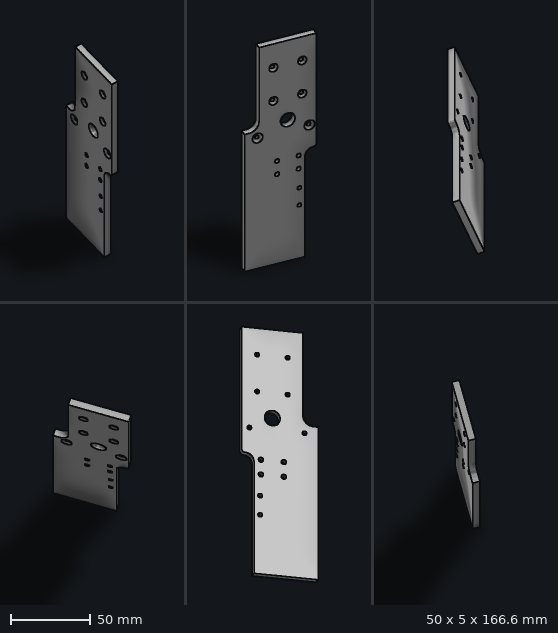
import cadquery as cq

width = 50.0
height = 166.6
thickness = 5.0
bottom_rise = 0.2

upper_left_x = 10.0
left_ledge_z = height - 62.8
left_fillet = 7.0
lower_right_x = 42.0
right_ledge_z = height - 85.1
right_fillet = 5.8
right_corner_round = 2.0

hole_center_x = (upper_left_x + width) / 2
row_pitch = 25.0
top_row_z = height - 18.0
middle_row_z = top_row_z - row_pitch
bottom_row_z = middle_row_z - row_pitch

screw_hole_diameter = 2.7
upper_screw_spacing = 20.0
upper_sink_diameter = 6.0
upper_sink_angle = 90.0
lower_screw_center_x = 27.0
lower_screw_spacing = 36.0
lower_sink_diameter = 7.2
lower_sink_angle = 120.0

bore_diameter = 10.0
bore_z = height - 60.0

grid_hole_diameter = 3.0
grid_hole_left_x = 22.5
grid_hole_spacing_x = 15.0
grid_hole_spacing_z = 10.0
grid_hole_top_z = height - 89.0

pair_hole_diameter = 2.7
pair_hole_x = 38.0
pair_hole_spacing = 13.0
pair_hole_top_z = height - 113.5


def plate():
    """Stepped plate with rounded step corners."""
    blank = (
        cq.Workplane("XZ")
        .moveTo(0, bottom_rise)
        .lineTo(lower_right_x, 0)
        .lineTo(lower_right_x, right_ledge_z)
        .lineTo(width, right_ledge_z)
        .lineTo(width, height)
        .lineTo(upper_left_x, height)
        .lineTo(upper_left_x, left_ledge_z)
        .lineTo(0, left_ledge_z)
        .close()
        .extrude(-thickness)
    )
    corners = (
        (upper_left_x, left_ledge_z, left_fillet),
        (lower_right_x, right_ledge_z, right_fillet),
        (width, right_ledge_z, right_corner_round),
    )
    for x, z, radius in corners:
        corner_edge = cq.selectors.NearestToPointSelector((x, thickness / 2, z))
        blank = blank.edges("|Y").edges(corner_edge).fillet(radius)
    return blank


def front_points(body, points):
    """Place hole centers, given as X and Z, on the front face."""
    return body.faces("<Y").workplane(origin=(0, 0, 0)).pushPoints(points)


def screw_pair(center_x, spacing, z):
    """Two hole centers spaced evenly about a center line."""
    return [(center_x + side * spacing / 2, z) for side in (-1, 1)]


upper_screws = [
    point
    for z in (top_row_z, middle_row_z)
    for point in screw_pair(hole_center_x, upper_screw_spacing, z)
]
lower_screws = screw_pair(lower_screw_center_x, lower_screw_spacing, bottom_row_z)
grid_holes = [
    (grid_hole_left_x + column * grid_hole_spacing_x, grid_hole_top_z - row * grid_hole_spacing_z)
    for column in range(2)
    for row in range(2)
]
pair_holes = [(pair_hole_x, pair_hole_top_z - row * pair_hole_spacing) for row in range(2)]

result = plate()
result = front_points(result, upper_screws).cskHole(screw_hole_diameter, upper_sink_diameter, upper_sink_angle)
result = front_points(result, lower_screws).cskHole(screw_hole_diameter, lower_sink_diameter, lower_sink_angle)
result = front_points(result, [(hole_center_x, bore_z)]).hole(bore_diameter)
result = front_points(result, grid_holes).hole(grid_hole_diameter)
result = front_points(result, pair_holes).hole(pair_hole_diameter)